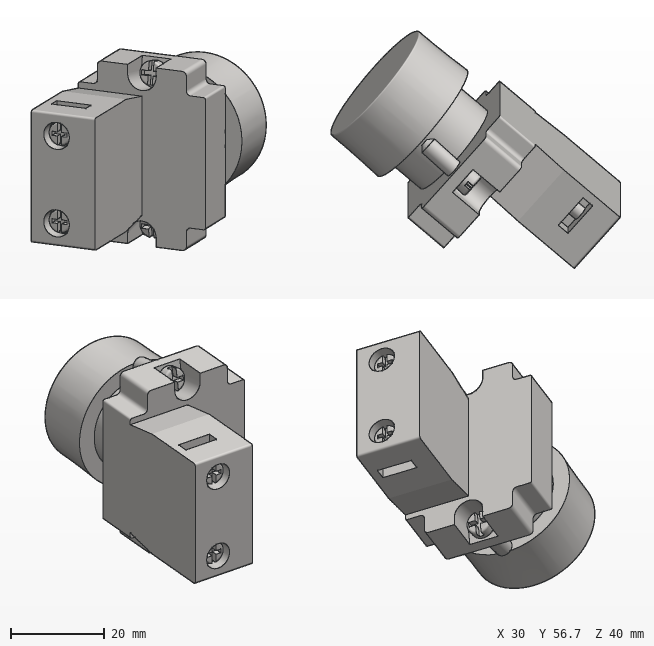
import cadquery as cq
import math


plate_width = 30.0
plate_height = 40.0
plate_thickness = 10.15
tab_width = 21.0
side_height = 29.5
tab_corner_radius = 1.0
side_corner_radius = 0.5

neck_radius = 11.0
neck_length = 8.9
cap_length = 13.5
cap_base_radius = 14.85
cap_middle_radius = 14.6
cap_end_radius = 14.5
cap_edge_radius = 0.3

block_width = plate_width / 2
block_length = 24.15
block_height = side_height
block_taper_length = 8.15
block_taper_angle = 10.0
block_edge_radius = 0.5

head_edge_radius = 0.5
head_slot_depth = 1.55

terminal_x = -9.0
terminal_z = 9.75
terminal_hole_radius = 3.0
terminal_hole_depth = 3.0
terminal_head_radius = 2.6
terminal_head_height = head_slot_depth
terminal_shank_radius = 1.6
terminal_slot_widths = (1.0, 0.9)
terminal_cross_length = 3.45

wire_opening_width = 8.05
wire_opening_length = 2.7
wire_opening_y = -16.55

clamp_tilt = math.radians(10.0)
clamp_exit_z = 16.15
clamp_recess_width = 6.7
clamp_seat_y = 7.05
clamp_head_radius = 2.7
clamp_head_height = 2.5
clamp_pin_radius = 2.0
clamp_pin_chamfer = 1.15
clamp_pin_tip_y = 18.5
clamp_slot_widths = (1.15, 1.1)
clamp_cross_length = 4.3


def make_plate():
    side_bar = (
        cq.Workplane("XZ")
        .rect(plate_width, side_height)
        .extrude(-plate_thickness)
        .edges("|Y")
        .fillet(side_corner_radius)
    )
    tab_bar = (
        cq.Workplane("XZ")
        .rect(tab_width, plate_height)
        .extrude(-plate_thickness)
        .edges("|Y")
        .fillet(tab_corner_radius)
    )
    plate = side_bar.union(tab_bar)
    corner_x = tab_width / 2
    corner_z = side_height / 2
    for x in (-corner_x, corner_x):
        for z in (-corner_z, corner_z):
            nearest = cq.selectors.NearestToPointSelector((x, plate_thickness / 2, z))
            plate = plate.edges(nearest).fillet(tab_corner_radius)
    return plate


def make_neck_and_cap():
    neck_end = plate_thickness + neck_length
    cap_end = neck_end + cap_length
    return (
        cq.Workplane("XY")
        .moveTo(0, plate_thickness)
        .lineTo(neck_radius, plate_thickness)
        .lineTo(neck_radius, neck_end)
        .lineTo(cap_base_radius, neck_end)
        .threePointArc((cap_middle_radius, neck_end + cap_length / 2), (cap_end_radius, cap_end))
        .lineTo(0, cap_end)
        .close()
        .revolve(360, (0, 0, 0), (0, 1, 0))
        .faces(">Y")
        .edges()
        .fillet(cap_edge_radius)
    )


def make_block():
    half_front = block_height / 2
    half_root = half_front - block_taper_length * math.tan(math.radians(block_taper_angle))
    return (
        cq.Workplane("YZ")
        .moveTo(0, -half_root)
        .lineTo(-block_taper_length, -half_front)
        .lineTo(-block_length, -half_front)
        .lineTo(-block_length, half_front)
        .lineTo(-block_taper_length, half_front)
        .lineTo(0, half_root)
        .close()
        .extrude(-block_width)
        .faces("<Y")
        .edges("|X")
        .fillet(block_edge_radius)
    )


def make_screw_head(seat, radius, height, slot_widths, cross_length):
    """Round head standing on the seat plane, with one full slot and one short cross slot."""
    head = cq.Workplane(seat).circle(radius).extrude(height).faces("<Y").edges().fillet(head_edge_radius)
    full_width, cross_width = slot_widths
    slot_floor = cq.Workplane(seat).workplane(offset=height - head_slot_depth)
    full_slot = slot_floor.rect(full_width, 2 * radius).extrude(head_slot_depth)
    cross_slot = slot_floor.rect(cross_length, cross_width).extrude(head_slot_depth)
    return head.cut(full_slot).cut(cross_slot)


def add_clamp_screw(plate, side):
    """Recess, head and pin of the tilted screw in the upper (side=1) or lower (side=-1) tab."""
    seat_z = clamp_exit_z + (plate_thickness - clamp_seat_y) * math.tan(clamp_tilt)
    seat = cq.Plane(
        origin=(0, clamp_seat_y, side * seat_z),
        xDir=(1, 0, 0),
        normal=(0, -math.cos(clamp_tilt), side * math.sin(clamp_tilt)),
    )
    reach = plate_thickness
    round_end = cq.Workplane(seat).circle(clamp_recess_width / 2).extrude(reach)
    open_end = (
        cq.Workplane(seat)
        .center(0, side * reach / 2)
        .rect(clamp_recess_width, reach)
        .extrude(reach)
    )
    head = make_screw_head(
        seat, clamp_head_radius, clamp_head_height, clamp_slot_widths, clamp_cross_length
    )
    pin_length = (clamp_pin_tip_y - clamp_seat_y) / math.cos(clamp_tilt)
    pin = (
        cq.Workplane(seat)
        .circle(clamp_pin_radius)
        .extrude(-pin_length)
        .faces(">Y")
        .chamfer(clamp_pin_chamfer)
    )
    return plate.cut(round_end).cut(open_end).union(head).union(pin)


def add_terminal(block, side):
    """Sunk screw and wire opening in the upper (side=1) or lower (side=-1) half of the block."""
    hole_floor_y = terminal_hole_depth - block_length
    seat = cq.Plane(
        origin=(terminal_x, hole_floor_y, side * terminal_z),
        xDir=(1, 0, 0),
        normal=(0, -1, 0),
    )
    hole = cq.Workplane(seat).circle(terminal_hole_radius).extrude(terminal_hole_depth)
    head = make_screw_head(
        seat, terminal_head_radius, terminal_head_height, terminal_slot_widths, terminal_cross_length
    )
    opening_depth = block_height / 2 - terminal_z
    opening_z = side * (terminal_z + opening_depth / 2)
    opening = (
        cq.Workplane("XY", origin=(terminal_x, wire_opening_y, opening_z))
        .box(wire_opening_width, wire_opening_length, opening_depth)
    )
    shank = cq.Workplane(seat).circle(terminal_shank_radius).extrude(-block_length / 2)
    return block.cut(hole).cut(opening.cut(shank)).union(head)


plate = make_plate()
block = make_block()
for side in (1, -1):
    plate = add_clamp_screw(plate, side)
    block = add_terminal(block, side)

result = plate.union(make_neck_and_cap()).union(block).solids()